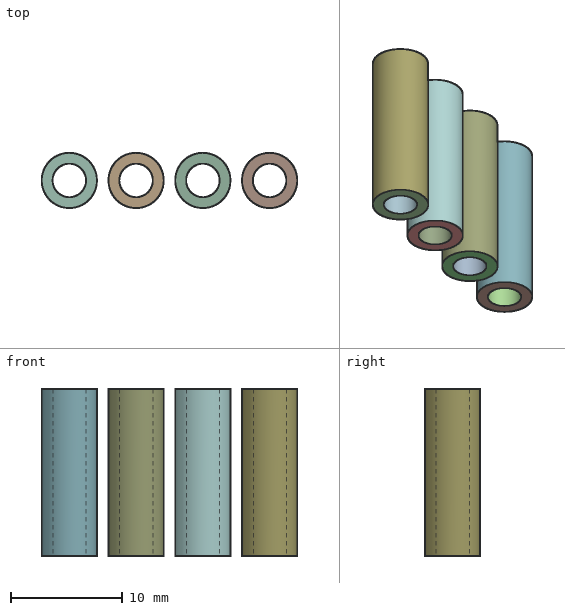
import cadquery as cq

row_length = 23.0
outer_diameter = 5.0
bore_diameter = 3.0
sleeve_height = 15.05
sleeve_count = 4

pitch = (row_length - outer_diameter) / (sleeve_count - 1)
first_center_x = -pitch * (sleeve_count - 1) / 2


def make_sleeve(center_x):
    """Plain upright tube with a through bore, standing on Z = 0."""
    return (
        cq.Workplane("XY")
        .center(center_x, 0)
        .circle(outer_diameter / 2)
        .circle(bore_diameter / 2)
        .extrude(sleeve_height)
    )


sleeves = []
for index in range(sleeve_count):
    sleeves.append(make_sleeve(first_center_x + index * pitch))

result = cq.Compound.makeCompound([sleeve.val() for sleeve in sleeves])